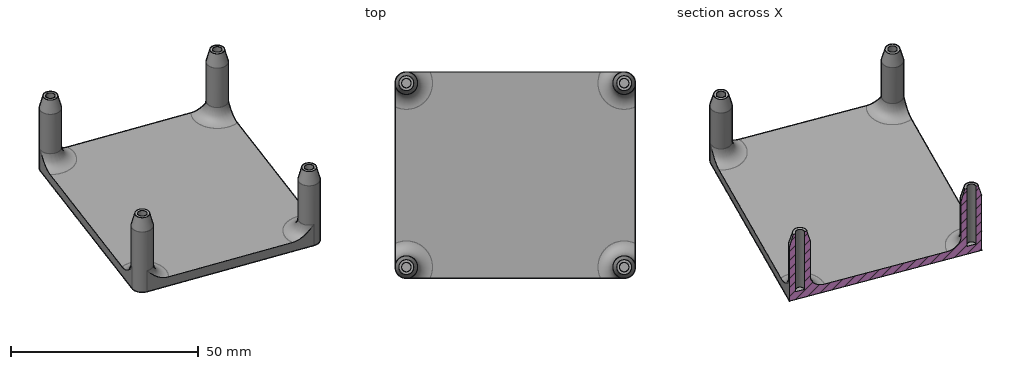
import cadquery as cq

length = 64.0
width = 55.0
plate_thickness = 3.0

overall_height = 24.0
post_diameter = 6.0
tip_diameter = 4.0
tip_height = 4.0
root_fillet = 4.0
hole_diameter = 2.5

post_radius = post_diameter / 2
tip_radius = tip_diameter / 2
flare_radius = post_radius + root_fillet
flare_top = plate_thickness + root_fillet
shoulder_height = overall_height - tip_height
hole_depth = overall_height - plate_thickness
post_x = length / 2 - post_radius
post_y = width / 2 - post_radius


def make_plate():
    """Flat cross-shaped plate; the posts fill its corners and round them."""
    long_bar = cq.Workplane("XY").rect(length, 2 * post_y).extrude(plate_thickness)
    wide_bar = cq.Workplane("XY").rect(2 * post_x, width).extrude(plate_thickness)
    return long_bar.union(wide_bar)


def make_post():
    """Straight post with a tapered tip, revolved about Z."""
    return (
        cq.Workplane("XZ")
        .lineTo(post_radius, 0)
        .lineTo(post_radius, shoulder_height)
        .lineTo(tip_radius, overall_height)
        .lineTo(0, overall_height)
        .close()
        .revolve(360, (0, 0, 0), (0, 1, 0))
    )


def make_flare():
    """Concave root, cut flush with plate sides that touch the post at -X and -Y."""
    arc_offset = root_fillet * 0.5 ** 0.5
    arc_middle = (flare_radius - arc_offset, flare_top - arc_offset)
    flare = (
        cq.Workplane("XZ")
        .lineTo(flare_radius, 0)
        .lineTo(flare_radius, plate_thickness)
        .threePointArc(arc_middle, (post_radius, flare_top))
        .lineTo(0, flare_top)
        .close()
        .revolve(270, (0, 0, 0), (0, 1, 0))
        .rotate((0, 0, 0), (0, 0, 1), -90)
    )
    trim_side = post_radius + flare_radius
    trim = (
        cq.Workplane("XY")
        .box(trim_side, trim_side, flare_top, centered=False)
        .translate((-post_radius, -post_radius, 0))
    )
    return flare.intersect(trim)


def make_hole():
    """Blind bore from the post tip down to the plate surface."""
    return (
        cq.Workplane("XY")
        .workplane(offset=plate_thickness)
        .circle(hole_diameter / 2)
        .extrude(hole_depth)
    )


corner_post = (
    make_post()
    .union(make_flare())
    .cut(make_hole())
    .translate((-post_x, -post_y, 0))
)
left_posts = corner_post.union(corner_post.mirror("XZ"))
posts = left_posts.union(left_posts.mirror("YZ"))

result = make_plate().union(posts)